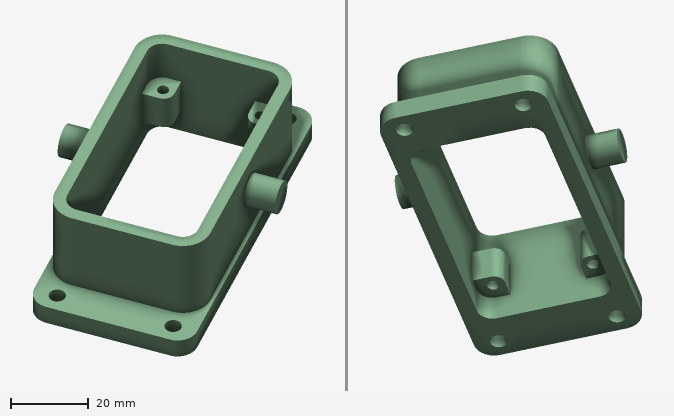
import cadquery as cq

TOTAL_LENGTH = 93.0
TOTAL_HEIGHT = 29.5
PIN_SPAN = 60.0

BASE_GASKET_THICKNESS = 1.4
FLANGE_THICKNESS = 4.3
TOP_SEAL_HEIGHT = 5.7

FLANGE_WIDTH = 45.0
FLANGE_CORNER_RADIUS = 5.4
MOUNT_HOLE_DIAMETER = 4.5
MOUNT_HOLE_SPACING_X = 32.0
MOUNT_HOLE_SPACING_Y = 83.0

WALL_WIDTH = 43.0
WALL_LENGTH = 73.0
WALL_CORNER_RADIUS = 7.6
WALL_THICKNESS = 3.4

BOSS_SIDE = 7.8
BOSS_CORNER_RADIUS = 3.0
BOSS_BOTTOM = 7.4
BOSS_HEIGHT = 10.0
BOSS_HOLE_DIAMETER = 3.2
BOSS_HOLE_INSET = 4.6

PIN_DIAMETER = 9.0

CAVITY_WIDTH = WALL_WIDTH - 2 * WALL_THICKNESS
CAVITY_LENGTH = WALL_LENGTH - 2 * WALL_THICKNESS
CAVITY_CORNER_RADIUS = WALL_CORNER_RADIUS - WALL_THICKNESS
FLANGE_TOP = BASE_GASKET_THICKNESS + FLANGE_THICKNESS
HOUSING_TOP = TOTAL_HEIGHT - TOP_SEAL_HEIGHT
PIN_AXIS_HEIGHT = HOUSING_TOP - PIN_DIAMETER / 2
PIN_LENGTH = (PIN_SPAN - WALL_WIDTH) / 2


def rounded_block(width, length, radius, bottom, top):
    """Upright block with rounded vertical edges, centred on the Z axis."""
    return (
        cq.Workplane("XY")
        .workplane(offset=bottom)
        .rect(width, length)
        .extrude(top - bottom)
        .edges("|Z")
        .fillet(radius)
    )


def cavity(bottom, top):
    """Space enclosed by the walls."""
    return rounded_block(CAVITY_WIDTH, CAVITY_LENGTH, CAVITY_CORNER_RADIUS, bottom, top)


def wall_ring(bottom, top):
    """Rectangular ring of wall with rounded corners."""
    block = rounded_block(WALL_WIDTH, WALL_LENGTH, WALL_CORNER_RADIUS, bottom, top)
    return block.cut(cavity(bottom, top))


def flange_plate(bottom, top):
    """Flange layer with the central opening and four mounting holes."""
    plate = rounded_block(FLANGE_WIDTH, TOTAL_LENGTH, FLANGE_CORNER_RADIUS, bottom, top)
    holes = (
        cq.Workplane("XY")
        .workplane(offset=bottom)
        .rect(MOUNT_HOLE_SPACING_X, MOUNT_HOLE_SPACING_Y, forConstruction=True)
        .vertices()
        .circle(MOUNT_HOLE_DIAMETER / 2)
        .extrude(top - bottom)
    )
    return plate.cut(cavity(bottom, top)).cut(holes)


def corner_boss(side_x, side_y):
    """Drilled boss in one corner of the cavity; side_x and side_y are +1 or -1."""
    corner_x = side_x * CAVITY_WIDTH / 2
    corner_y = side_y * CAVITY_LENGTH / 2
    block = (
        cq.Workplane("XY")
        .workplane(offset=BOSS_BOTTOM)
        .center(corner_x - side_x * BOSS_SIDE / 2, corner_y - side_y * BOSS_SIDE / 2)
        .rect(BOSS_SIDE, BOSS_SIDE)
        .extrude(BOSS_HEIGHT)
    )
    inner_edge = block.edges("|Z").edges(cq.selectors.NearestToPointSelector((0, 0, BOSS_BOTTOM)))
    block = inner_edge.fillet(BOSS_CORNER_RADIUS)
    hole = (
        cq.Workplane("XY")
        .workplane(offset=BOSS_BOTTOM)
        .center(corner_x - side_x * BOSS_HOLE_INSET, corner_y - side_y * BOSS_HOLE_INSET)
        .circle(BOSS_HOLE_DIAMETER / 2)
        .extrude(BOSS_HEIGHT)
    )
    return block.cut(hole)


def side_pin(side):
    """Round pin standing out from one long wall; side is +1 or -1."""
    return (
        cq.Workplane("YZ")
        .workplane(offset=side * WALL_WIDTH / 2)
        .center(0, PIN_AXIS_HEIGHT)
        .circle(PIN_DIAMETER / 2)
        .extrude(side * PIN_LENGTH)
    )


def make_base_gasket():
    """Flat gasket under the flange."""
    return flange_plate(0, BASE_GASKET_THICKNESS)


def make_housing():
    """Flanged wall with four corner bosses and two side pins."""
    body = flange_plate(BASE_GASKET_THICKNESS, FLANGE_TOP).union(wall_ring(FLANGE_TOP, HOUSING_TOP))
    for side_x in (-1, 1):
        body = body.union(side_pin(side_x))
        for side_y in (-1, 1):
            body = body.union(corner_boss(side_x, side_y))
    return body


def make_top_seal():
    """Seal ring on top of the housing wall."""
    return wall_ring(HOUSING_TOP, TOTAL_HEIGHT)


base_gasket = make_base_gasket()
housing = make_housing()
top_seal = make_top_seal()

result = cq.Compound.makeCompound([base_gasket.val(), housing.val(), top_seal.val()])